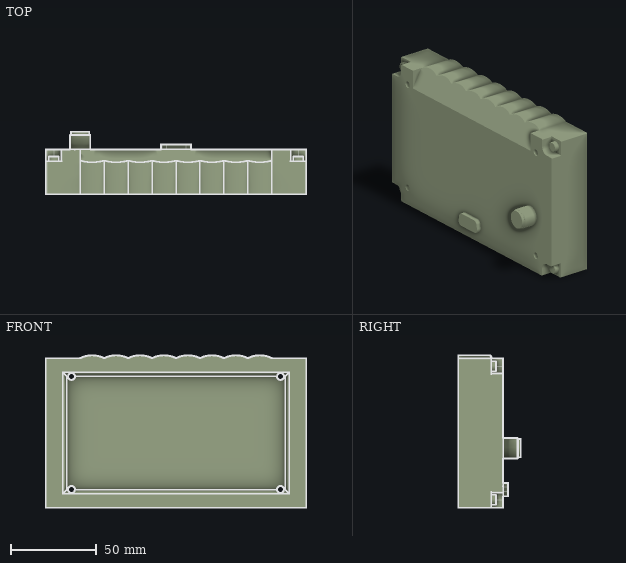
import cadquery as cq
import math

BODY_WIDTH = 152.0
BODY_DEPTH = 26.3
BODY_HEIGHT = 87.4
EDGE_RADIUS = 0.5
CUT_MARGIN = 1.5

RIDGE_COUNT = 8
RIDGE_PITCH = 14.0
RIDGE_RISE = 1.7
GRIP_WIDTH = RIDGE_COUNT * RIDGE_PITCH

SLOPE_ANGLE = 60.0
SLOPE_RUN = 6.5

POCKET_WIDTH = 132.2
POCKET_HEIGHT = 71.0
POCKET_DEPTH = 13.0
POCKET_DRAFT = 10.0

HOLE_DIAMETER = 4.0
HOLE_SPACING_X = 121.9
HOLE_SPACING_Z = 66.0

SCREW_INSET = 4.7
NOTCH_RADIUS = 4.3
NOTCH_SIZE = SCREW_INSET + NOTCH_RADIUS
NOTCH_DEPTH = 6.8
HEAD_DIAMETER = 6.0
HEAD_HEIGHT = 2.7
HEAD_CHAMFER = 0.3

CONNECTOR_X = -56.0
CONNECTOR_Z = 34.8
CONNECTOR_DIAMETER = 12.0
CONNECTOR_LENGTH = 10.3
TIP_DIAMETER = 10.8
TIP_LENGTH = 1.7
SHOULDER_CHAMFER = 0.5

SOCKET_Z = 10.6
SOCKET_TOP_WIDTH = 15.8
SOCKET_HEIGHT = 7.9
SOCKET_SIDE_ANGLE = 10.0
SOCKET_RADIUS = 2.6
SOCKET_RISE = 2.9


def back_cylinder(x, z, y_start, diameter, length):
    """Cylinder along +Y that starts at y_start."""
    base = cq.Vector(x, y_start, z)
    return cq.Workplane(cq.Solid.makeCylinder(diameter / 2, length, base, cq.Vector(0, 1, 0)))


def rounded_block(width, height, y_start, y_end):
    """Block at mid-height with rounded long edges, reaching from y_start to y_end."""
    depth = y_end - y_start
    block = cq.Workplane().box(width, depth, height, centered=(True, False, True))
    return block.edges("|Y").fillet(EDGE_RADIUS).translate((0, y_start, BODY_HEIGHT / 2))


def housing():
    """Full front part and a cross-shaped back part that leaves a notch at each corner."""
    floor_y = BODY_DEPTH - NOTCH_DEPTH
    inner_width = BODY_WIDTH - 2 * NOTCH_SIZE
    inner_height = BODY_HEIGHT - 2 * NOTCH_SIZE
    wide = rounded_block(BODY_WIDTH, inner_height, floor_y, BODY_DEPTH)
    tall = rounded_block(inner_width, BODY_HEIGHT, floor_y, BODY_DEPTH)
    reach_x = inner_width / 2 + EDGE_RADIUS
    reach_z = inner_height / 2 + EDGE_RADIUS
    middle = BODY_HEIGHT / 2
    inner_corners = cq.selectors.BoxSelector(
        (-reach_x, floor_y, middle - reach_z),
        (reach_x, BODY_DEPTH, middle + reach_z),
    )
    cross = wide.union(tall).edges("|Y").edges(inner_corners).fillet(NOTCH_RADIUS)
    return rounded_block(BODY_WIDTH, BODY_HEIGHT, 0, floor_y).union(cross)


def grip_ridges():
    """Row of arched ridges running from front to back over the top face."""
    left = -GRIP_WIDTH / 2
    outline = cq.Workplane("XZ").moveTo(left, BODY_HEIGHT)
    for index in range(RIDGE_COUNT):
        start = left + index * RIDGE_PITCH
        crest = (start + RIDGE_PITCH / 2, BODY_HEIGHT + RIDGE_RISE)
        outline = outline.threePointArc(crest, (start + RIDGE_PITCH, BODY_HEIGHT))
    base = BODY_HEIGHT - CUT_MARGIN
    return outline.lineTo(-left, base).lineTo(left, base).close().extrude(-BODY_DEPTH)


def grip_slope():
    """Wedge that cuts the slope behind the ridges."""
    steepness = math.tan(math.radians(SLOPE_ANGLE))
    top = BODY_HEIGHT + RIDGE_RISE + CUT_MARGIN
    back = BODY_DEPTH + CUT_MARGIN
    edge_y = BODY_DEPTH - SLOPE_RUN
    wedge = [
        (edge_y - (top - BODY_HEIGHT) / steepness, top),
        (back, BODY_HEIGHT - (back - edge_y) * steepness),
        (back, top),
    ]
    return cq.Workplane("YZ").polyline(wedge).close().extrude(GRIP_WIDTH / 2, both=True)


def pocket():
    """Front pocket whose four walls lean inwards towards the floor."""
    sketch = cq.Workplane("XZ").center(0, BODY_HEIGHT / 2).rect(POCKET_WIDTH, POCKET_HEIGHT)
    return sketch.extrude(-POCKET_DEPTH, taper=POCKET_DRAFT)


def corner_holes():
    sketch = cq.Workplane("XZ").center(0, BODY_HEIGHT / 2)
    sketch = sketch.rect(HOLE_SPACING_X, HOLE_SPACING_Z, forConstruction=True).vertices()
    return sketch.circle(HOLE_DIAMETER / 2).extrude(-BODY_DEPTH)


def screw_head(side, screw_z):
    screw_x = side * (BODY_WIDTH / 2 - SCREW_INSET)
    floor_y = BODY_DEPTH - NOTCH_DEPTH
    head = back_cylinder(screw_x, screw_z, floor_y, HEAD_DIAMETER, HEAD_HEIGHT)
    return head.faces(">Y").edges().chamfer(HEAD_CHAMFER)


def round_connector():
    """Stepped cylinder with a chamfered shoulder below its tip."""
    shank_length = CONNECTOR_LENGTH - TIP_LENGTH
    shank = back_cylinder(CONNECTOR_X, CONNECTOR_Z, BODY_DEPTH, CONNECTOR_DIAMETER, shank_length)
    shank = shank.faces(">Y").edges().chamfer(SHOULDER_CHAMFER)
    tip = back_cylinder(CONNECTOR_X, CONNECTOR_Z, BODY_DEPTH, TIP_DIAMETER, CONNECTOR_LENGTH)
    return shank.union(tip)


def d_connector():
    """Low D-shaped plate with rounded corners."""
    half_top = SOCKET_TOP_WIDTH / 2
    half_bottom = half_top + SOCKET_HEIGHT * math.tan(math.radians(SOCKET_SIDE_ANGLE))
    top = SOCKET_Z + SOCKET_HEIGHT / 2
    bottom = SOCKET_Z - SOCKET_HEIGHT / 2
    corners = [(-half_top, top), (half_top, top), (half_bottom, bottom), (-half_bottom, bottom)]
    outline = cq.Workplane("XZ", origin=(0, BODY_DEPTH, 0)).polyline(corners).close()
    plate = outline.extrude(-SOCKET_RISE)
    return plate.edges("|Y").fillet(SOCKET_RADIUS)


result = housing().union(grip_ridges()).cut(grip_slope()).cut(pocket()).cut(corner_holes())

for side in (-1, 1):
    for screw_z in (SCREW_INSET, BODY_HEIGHT - SCREW_INSET):
        result = result.union(screw_head(side, screw_z))

result = result.union(round_connector()).union(d_connector())